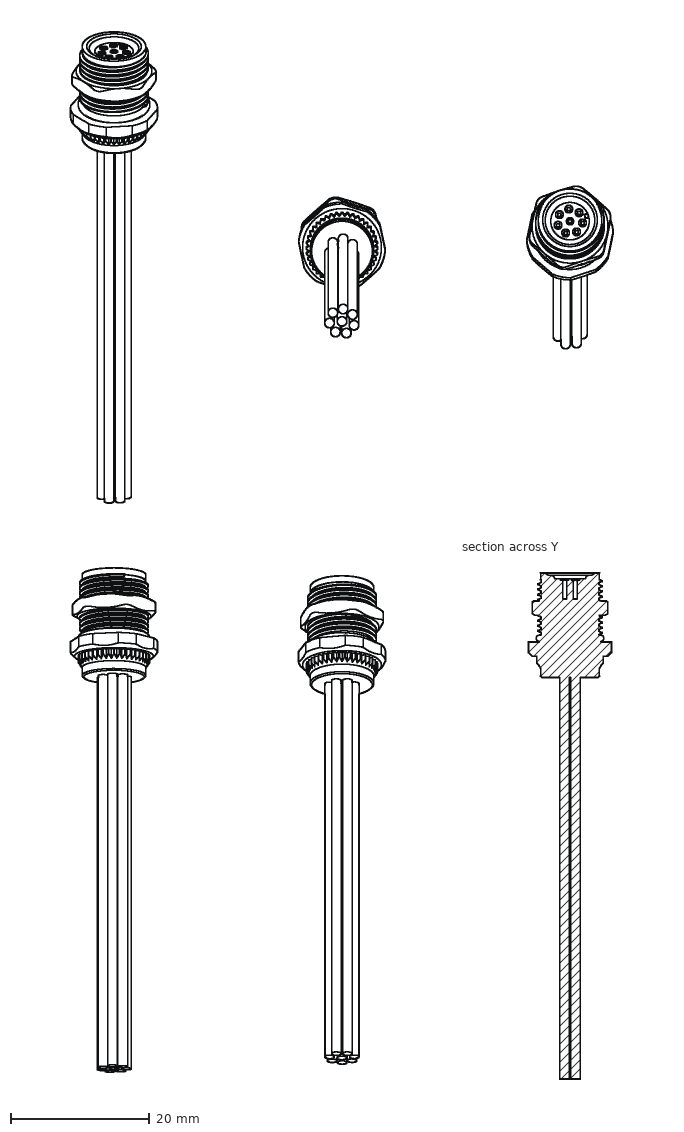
import cadquery as cq
import math

TOTAL_LENGTH = 73.2

HOUSING_BOTTOM = 58.05
BODY_RADIUS = 4.6
BOTTOM_CHAMFER = 0.2
CONE_BOTTOM = 59.45
KNURL_EDGE = 60.3
KNURL_RADIUS = 5.2

KNURL_TEETH = 40
KNURL_DEPTH = 0.4
KNURL_GROOVE_WIDTH = 0.7

FLANGE_BOTTOM = 61.1
FLANGE_HEIGHT = 2.1
FLANGE_ACROSS_FLATS = 12.0
FLANGE_DIAMETER = 12.6
FLANGE_CHAMFER = 0.6

SEAL_TUBE_RADIUS = 0.5

NUT_BOTTOM = 67.05
NUT_HEIGHT = 2.1
NUT_ACROSS_FLATS = 11.0
NUT_CORNER_ROUNDING = 1.5
NUT_TOP_FACE_RADIUS = 5.5
NUT_BOTTOM_FACE_RADIUS = 5.35
NUT_CHAMFER_ANGLE = 30.0

THREAD_RADIUS = 5.0
THREAD_CORE_RADIUS = 4.55
COLLAR_RADIUS = 4.75
THREAD_BOTTOM = 64.0
THREAD_TOP = 72.25
THREAD_RISE = 7.7
THREAD_TURNS = 10.25
THREAD_PITCH = THREAD_RISE / THREAD_TURNS
THREAD_START = 64.5
THREAD_ROOT_WIDTH = 0.6
THREAD_CREST_WIDTH = 0.15
THREAD_OVERLAP = 0.1

MOUTH_RADIUS = 3.95
SOCKET_RADIUS = 3.6
SOCKET_DEPTH = 0.3
INSERT_EDGE_ROUNDING = 0.5
INSERT_RADIUS = 2.8
CONTACT_COUNT = 7
CONTACT_CIRCLE_RADIUS = 1.8
CONTACT_RECESS_RADIUS = 0.55
CENTRE_RECESS_RADIUS = 0.5
CONTACT_RECESS_DEPTH = 0.2
PIN_BORE_RADIUS = 0.255
PIN_BORE_DEPTH = 2.9
KEY_WIDTH = 0.6
KEY_LENGTH = 0.5
KEY_DEPTH = 0.4
INSERT_FACE = TOTAL_LENGTH - SOCKET_DEPTH - INSERT_EDGE_ROUNDING

WIRE_RADIUS = 0.695
WIRE_OVERLAP = 0.7


def circle_points(count, radius):
    """Points evenly spaced on a circle, the first one on the -Y axis."""
    angles = [2 * math.pi * i / count - math.pi / 2 for i in range(count)]
    return [(radius * math.cos(a), radius * math.sin(a)) for a in angles]


def revolve(outline):
    """Solid of revolution about Z from an outline of (radius, height)."""
    return outline.close().revolve(360, (0, 0, 0), (0, 1, 0))


def cylinder(radius, bottom, top):
    """Upright cylinder on the Z axis between two heights."""
    return cq.Workplane("XY", origin=(0, 0, bottom)).circle(radius).extrude(top - bottom)


def hexagon(across_flats, bottom, height):
    """Hexagonal prism with two flats facing +X and -X."""
    corner_diameter = across_flats / math.cos(math.pi / 6)
    prism = cq.Workplane("XY").polygon(6, corner_diameter).extrude(height)
    return prism.rotate((0, 0, 0), (0, 0, 1), 30).translate((0, 0, bottom))


def make_body():
    """Stepped housing with a bevelled socket and a rounded edge around the insert face."""
    socket_floor = TOTAL_LENGTH - SOCKET_DEPTH
    corner_offset = INSERT_EDGE_ROUNDING * math.sqrt(0.5)
    ring_radius = INSERT_RADIUS + INSERT_EDGE_ROUNDING
    outline = (
        cq.Workplane("XZ")
        .moveTo(0, HOUSING_BOTTOM)
        .lineTo(BODY_RADIUS - BOTTOM_CHAMFER, HOUSING_BOTTOM)
        .lineTo(BODY_RADIUS, HOUSING_BOTTOM + BOTTOM_CHAMFER)
        .lineTo(BODY_RADIUS, CONE_BOTTOM)
        .lineTo(KNURL_RADIUS, KNURL_EDGE)
        .lineTo(KNURL_RADIUS, FLANGE_BOTTOM)
        .lineTo(COLLAR_RADIUS, FLANGE_BOTTOM)
        .lineTo(COLLAR_RADIUS, THREAD_BOTTOM)
        .lineTo(THREAD_CORE_RADIUS, THREAD_BOTTOM)
        .lineTo(THREAD_CORE_RADIUS, THREAD_TOP)
        .lineTo(BODY_RADIUS, THREAD_TOP)
        .lineTo(BODY_RADIUS, TOTAL_LENGTH)
        .lineTo(MOUTH_RADIUS, TOTAL_LENGTH)
        .lineTo(SOCKET_RADIUS, socket_floor)
        .lineTo(ring_radius, socket_floor)
        .threePointArc(
            (ring_radius - corner_offset, INSERT_FACE + corner_offset),
            (INSERT_RADIUS, INSERT_FACE),
        )
        .lineTo(0, INSERT_FACE)
    )
    return revolve(outline)


def make_knurl_grooves():
    """V grooves running down the collar, between its teeth."""
    height = FLANGE_BOTTOM - CONE_BOTTOM
    groove = (
        cq.Workplane("XY", origin=(0, 0, CONE_BOTTOM))
        .moveTo(KNURL_RADIUS - KNURL_DEPTH, 0)
        .lineTo(KNURL_RADIUS + KNURL_DEPTH, KNURL_GROOVE_WIDTH)
        .lineTo(KNURL_RADIUS + KNURL_DEPTH, -KNURL_GROOVE_WIDTH)
        .close()
        .extrude(height)
        .val()
    )
    step = 360 / KNURL_TEETH
    axis_end = cq.Vector(0, 0, 1)
    grooves = [groove.rotate(cq.Vector(), axis_end, (i + 0.5) * step) for i in range(KNURL_TEETH)]
    return cq.Workplane(cq.Compound.makeCompound(grooves))


def make_flange():
    """Hexagon with its corners turned round and its lower edge chamfered."""
    disc = cylinder(FLANGE_DIAMETER / 2, FLANGE_BOTTOM, FLANGE_BOTTOM + FLANGE_HEIGHT)
    disc = disc.faces("<Z").chamfer(FLANGE_CHAMFER)
    return disc.intersect(hexagon(FLANGE_ACROSS_FLATS, FLANGE_BOTTOM, FLANGE_HEIGHT))


def make_seal():
    """Round-section ring resting on the flange."""
    height = FLANGE_BOTTOM + FLANGE_HEIGHT + SEAL_TUBE_RADIUS
    tube_centre = KNURL_RADIUS - SEAL_TUBE_RADIUS
    torus = cq.Solid.makeTorus(tube_centre, SEAL_TUBE_RADIUS, cq.Vector(0, 0, height))
    return cq.Workplane(torus)


def make_nut():
    """Hexagonal nut with rounded corners and a conical chamfer at both ends."""
    prism = hexagon(NUT_ACROSS_FLATS, NUT_BOTTOM, NUT_HEIGHT).edges("|Z").fillet(NUT_CORNER_ROUNDING)
    slope = math.tan(math.radians(NUT_CHAMFER_ANGLE))
    top = NUT_BOTTOM + NUT_HEIGHT
    middle = NUT_BOTTOM + NUT_HEIGHT / 2
    reach = NUT_HEIGHT / 2 / slope
    cone_pair = revolve(
        cq.Workplane("XZ")
        .moveTo(0, NUT_BOTTOM)
        .lineTo(NUT_BOTTOM_FACE_RADIUS, NUT_BOTTOM)
        .lineTo(NUT_BOTTOM_FACE_RADIUS + reach, middle)
        .lineTo(NUT_TOP_FACE_RADIUS + reach, middle)
        .lineTo(NUT_TOP_FACE_RADIUS, top)
        .lineTo(0, top)
    )
    return prism.intersect(cone_pair)


def make_thread():
    """Threaded length of the shell: a core with a right-handed ridge, cut off square at both ends."""
    path = cq.Wire.makeHelix(THREAD_PITCH, THREAD_RISE, THREAD_CORE_RADIUS)
    root_radius = THREAD_CORE_RADIUS - THREAD_OVERLAP
    ridge = (
        cq.Workplane("XZ")
        .moveTo(root_radius, -THREAD_ROOT_WIDTH / 2)
        .lineTo(THREAD_RADIUS, -THREAD_CREST_WIDTH / 2)
        .lineTo(THREAD_RADIUS, THREAD_CREST_WIDTH / 2)
        .lineTo(root_radius, THREAD_ROOT_WIDTH / 2)
        .close()
        .sweep(cq.Workplane(path), isFrenet=True)
    )
    core = cylinder(THREAD_CORE_RADIUS, THREAD_BOTTOM - THREAD_PITCH, THREAD_TOP + THREAD_PITCH / 2)
    threaded_core = core.union(ridge.translate((0, 0, THREAD_START)))
    return threaded_core.intersect(cylinder(THREAD_RADIUS + THREAD_OVERLAP, THREAD_BOTTOM, THREAD_TOP))


def make_contact_holes():
    """Stepped holes: a shallow recess with a narrower bore for each pin."""

    def holes(points, radius, depth):
        face = cq.Workplane("XY", origin=(0, 0, INSERT_FACE))
        return face.pushPoints(points).circle(radius).extrude(-depth)

    return (
        holes(CONTACT_RING, CONTACT_RECESS_RADIUS, CONTACT_RECESS_DEPTH)
        .union(holes([(0, 0)], CENTRE_RECESS_RADIUS, CONTACT_RECESS_DEPTH))
        .union(holes(CONTACT_RING + [(0, 0)], PIN_BORE_RADIUS, PIN_BORE_DEPTH))
    )


def make_key_slot():
    """Shallow polarising slot at the +Y edge of the insert face."""
    slot_middle = INSERT_RADIUS - KEY_LENGTH / 2
    return (
        cq.Workplane("XY", origin=(0, 0, INSERT_FACE))
        .center(0, slot_middle)
        .rect(KEY_WIDTH, KEY_LENGTH)
        .extrude(-KEY_DEPTH)
    )


def make_wires():
    """One wire below each contact, running up into the housing."""
    length = HOUSING_BOTTOM + WIRE_OVERLAP
    return cq.Workplane("XY").pushPoints(CONTACT_RING + [(0, 0)]).circle(WIRE_RADIUS).extrude(length)


CONTACT_RING = circle_points(CONTACT_COUNT, CONTACT_CIRCLE_RADIUS)

result = make_body().cut(make_knurl_grooves())
result = result.union(make_thread())
result = result.union(make_flange()).union(make_seal()).union(make_nut())
result = result.cut(make_contact_holes()).cut(make_key_slot()).union(make_wires())